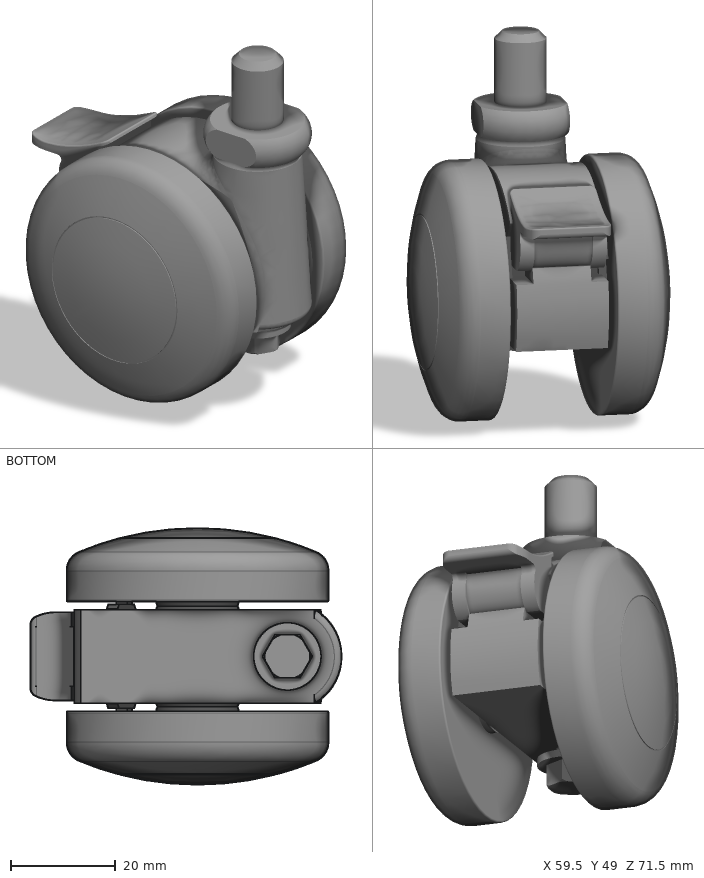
import cadquery as cq
import math


wheel_radius = 25.0
overall_width = 49.0
wheel_inner_y = 10.45
tread_outer_y = 16.3
shoulder_radius = 3.9
dome_rim_radius = 22.5
inner_edge_round = 0.35
cap_radius = 15.0
cap_groove_width = 0.3
cap_groove_depth = 0.15
hub_radius = 7.95
hub_waist_y = 9.6
hub_waist_radius = 7.65

housing_radius = 23.5
housing_width = 17.9
housing_bottom_z = -7.6
stem_x = 17.15
post_top_z = 26.6
post_shoulder_z = 25.5
post_top_radius = 8.6
post_bottom_radius = 10.45
post_bevel = 0.5
post_bottom_round = 1.4
post_blend_radius = 2.5

lever_width = 16.9
web_width = 11.3
lever_back_x = -14.8
arm_floor_z = 5.6
notch_lip = [(-16.65, 16.3), (-15.7, 17.9)]
web_floor_z = 8.5
lever_tip_x = -31.9
lever_rear_x = -12.5
tip_sweep_x = -27.1
tip_corner_y = 7.0
tip_corner_radius = 1.8
rear_corner_radius = 1.6
lever_tip_top_z = 18.4
pad_top_curve = [(-25.4, 18.1), (-17.65, 20.1), (-12.8, 22.3)]
pad_rear_bottom_z = 21.6
web_back_top_z = 20.4
pad_underside_z = 16.15
arm_fillet_top_x = -24.3
arm_fillet_mid = (-23.6, 15.7)
tip_round_start_x = -30.75
tip_round_mid = (-31.6, 16.5)
tip_round_end_z = 17.4
arm_front_x = -23.45
arm_front_z = 15.0
arm_belly_x = -24.0
arm_belly_z = 12.8
arm_bottom_x = -20.9
arm_bottom_z = 7.9
web_setback = 0.5
lever_rim_round = 0.3

lug_outer_y = 9.95
lug_chamfer = 0.85
lug_foot = (-17.3, 3.0)
lug_head = (-13.9, 13.15)
pad_bottom_z = 8.3
pad_top_z = 11.45
lug_back = [(-11.8, 12.45), (-15.2, 2.3)]
pad_back = [(-12.45, 10.65), (-13.4, 7.9)]

stem_top_z = 46.5
stud_radius = 5.0
stud_chamfer = 1.4
nut_top_z = 32.6
nut_face_radius = 9.1
nut_belly_radius = 10.4
nut_flats = 16.9
shank_radius = 2.9
washer_radius = 6.4
washer_top_z = -9.45
washer_bottom_z = -10.9
bolt_head_bottom_z = -15.2
bolt_head_flats = 8.2
bolt_head_chamfer = 0.4

all_round = 71.5


def slab(width):
    """Block centred on the mid-plane, limited only in Y."""
    return cq.Workplane("XY").box(2 * all_round, width, 2 * all_round)


def extrude_across(sketch, width):
    """Extrude an XZ outline symmetrically about the mid-plane."""
    return sketch.extrude(width).translate((0, width / 2, 0))


def disc(radius, bottom_z, top_z):
    """Upright cylinder on the Z axis between two heights."""
    return cq.Workplane("XY", origin=(0, 0, bottom_z)).circle(radius).extrude(top_z - bottom_z)


def make_wheel(side):
    """One wheel with its domed outer face towards side (+1 or -1) along Y."""
    crown_y = overall_width / 2
    shoulder_x = wheel_radius - shoulder_radius
    rim_offset = dome_rim_radius - shoulder_x
    rim_y = tread_outer_y + math.sqrt(shoulder_radius**2 - rim_offset**2)
    mid_angle = math.acos(rim_offset / shoulder_radius) / 2
    shoulder_mid = (
        shoulder_x + shoulder_radius * math.cos(mid_angle),
        tread_outer_y + shoulder_radius * math.sin(mid_angle),
    )
    dome_rise = crown_y - rim_y
    dome_radius = (dome_rim_radius**2 + dome_rise**2) / (2 * dome_rise)

    def dome_y(r):
        return crown_y - dome_radius + math.sqrt(dome_radius**2 - r**2)

    wheel = (
        cq.Workplane("XY")
        .moveTo(0, housing_width / 2)
        .lineTo(hub_radius, housing_width / 2)
        .lineTo(hub_waist_radius, hub_waist_y)
        .lineTo(hub_radius, wheel_inner_y)
        .lineTo(wheel_radius - inner_edge_round, wheel_inner_y)
        .radiusArc((wheel_radius, wheel_inner_y + inner_edge_round), -inner_edge_round)
        .lineTo(wheel_radius, tread_outer_y)
        .threePointArc(shoulder_mid, (dome_rim_radius, rim_y))
        .threePointArc((dome_rim_radius / 2, dome_y(dome_rim_radius / 2)), (0, crown_y))
        .close()
        .revolve(360, (0, 0, 0), (0, 1, 0))
    )
    groove_bottom_y = dome_y(cap_radius) - cap_groove_depth
    groove = (
        cq.Workplane("XZ", origin=(0, groove_bottom_y, 0))
        .circle(cap_radius)
        .circle(cap_radius - cap_groove_width)
        .extrude(-all_round)
    )
    wheel = wheel.cut(groove)
    return wheel if side > 0 else wheel.mirror("XZ")


def make_post():
    """Tapered swivel post round the stem axis, with a sharp bottom edge."""
    return (
        cq.Workplane("XZ", origin=(stem_x, 0, 0))
        .moveTo(0, housing_bottom_z)
        .lineTo(post_bottom_radius, housing_bottom_z)
        .lineTo(post_top_radius, post_shoulder_z)
        .lineTo(post_top_radius - post_bevel, post_top_z)
        .lineTo(0, post_top_z)
        .close()
        .revolve(360, (0, 0, 0), (0, 1, 0))
    )


def on_lug_front(z):
    """Point at height z on the slanted front face of the lugs."""
    lean = (lug_head[0] - lug_foot[0]) / (lug_head[1] - lug_foot[1])
    return (lug_foot[0] + lean * (z - lug_foot[1]), z)


def make_lugs():
    """Slanted lug with a raised pad on each side of the housing, against the wheel."""
    lug_outline = [lug_foot, lug_head, *lug_back]
    pad_outline = [on_lug_front(pad_bottom_z), on_lug_front(pad_top_z), *pad_back]
    lug = extrude_across(cq.Workplane("XZ").polyline(lug_outline).close(), 2 * lug_outer_y)
    end_edges = lug.faces("<Y or >Y").edges("(<Z or >Z)")
    lug = end_edges.chamfer(lug_chamfer)
    pad = extrude_across(cq.Workplane("XZ").polyline(pad_outline).close(), 2 * wheel_inner_y)
    return lug.union(pad).cut(slab(lever_width))


def make_drum():
    """Housing drum with its flat underside, wider than the finished housing."""
    drum = extrude_across(cq.Workplane("XZ").circle(housing_radius), 2 * housing_width)
    drum_top = cq.Workplane("XY").box(
        2 * all_round, 2 * all_round, all_round, centered=(True, True, False))
    return drum.intersect(drum_top.translate((0, 0, housing_bottom_z)))


def lever_pocket(floor_z, width):
    """Space in front of the pocket's rear wall and above a floor."""
    space = cq.Workplane("XY").box(all_round, width, all_round, centered=(False, True, False))
    return space.translate((lever_back_x - all_round, 0, floor_z))


def make_housing():
    """Drum, post and lugs, cut out for the lever and bored for the stem."""
    drum = make_drum()
    post = make_post()

    body = drum.union(post)
    meeting_curve = body.edges("not(%CIRCLE or %LINE)")
    body = meeting_curve.fillet(post_blend_radius)

    rounded_post = post.faces("<Z").edges().fillet(post_bottom_round)
    body = body.cut(post.cut(rounded_post).cut(drum))
    housing = body.intersect(slab(housing_width))

    notch_outline = [
        (-all_round, arm_floor_z), on_lug_front(arm_floor_z), lug_head,
        *notch_lip, (-all_round, all_round),
    ]
    notches = extrude_across(cq.Workplane("XZ").polyline(notch_outline).close(), housing_width)
    notches = notches.cut(slab(web_width))
    housing = housing.cut(notches).union(make_lugs())

    arm_pocket = lever_pocket(arm_floor_z, lever_width).cut(slab(web_width))
    web_pocket = lever_pocket(web_floor_z, web_width)
    bore = disc(shank_radius, housing_bottom_z, post_top_z).translate((stem_x, 0, 0))
    return housing.cut(arm_pocket).cut(web_pocket).cut(bore)


def make_lever():
    """Foot lever: a curved pad on two arms joined by a set-back web."""
    outline = (
        cq.Workplane("XZ")
        .moveTo(lever_tip_x, lever_tip_top_z)
        .spline(pad_top_curve, includeCurrent=True)
        .lineTo(lever_rear_x, pad_rear_bottom_z)
        .lineTo(lever_back_x, web_back_top_z)
        .lineTo(lever_back_x, arm_bottom_z)
        .lineTo(arm_bottom_x, arm_bottom_z)
        .threePointArc((arm_belly_x, arm_belly_z), (arm_front_x, arm_front_z))
        .threePointArc(arm_fillet_mid, (arm_fillet_top_x, pad_underside_z))
        .lineTo(tip_round_start_x, pad_underside_z)
        .threePointArc(tip_round_mid, (lever_tip_x, tip_round_end_z))
        .close()
    )
    lever = extrude_across(outline, lever_width)

    recess = (
        cq.Workplane("XZ")
        .moveTo(lever_tip_x, arm_bottom_z)
        .lineTo(arm_bottom_x + web_setback, arm_bottom_z)
        .threePointArc(
            (arm_belly_x + web_setback, arm_belly_z),
            (arm_front_x + web_setback, pad_underside_z),
        )
        .lineTo(lever_tip_x, pad_underside_z)
        .close()
    )
    lever = lever.cut(extrude_across(recess, web_width))

    below_web = slab(web_width).translate((0, 0, web_floor_z - all_round))
    lever = lever.cut(below_web)

    side_y = lever_width / 2
    plan = (
        cq.Workplane("XY", origin=(0, 0, -all_round))
        .moveTo(lever_rear_x, 0)
        .lineTo(lever_rear_x, side_y)
        .lineTo(tip_sweep_x, side_y)
        .tangentArcPoint((lever_tip_x, tip_corner_y), relative=False)
        .lineTo(lever_tip_x, 0)
        .mirrorX()
        .extrude(2 * all_round)
        .edges("|Z and <X").fillet(tip_corner_radius)
        .edges("|Z and >X").fillet(rear_corner_radius)
    )
    lever = lever.intersect(plan)

    top_face = lever.faces("%EXTRUSION").faces(">Z")
    return top_face.edges().fillet(lever_rim_round)


def make_stem():
    """Stud, swivel nut, shank, washer and bolt head on one axis."""
    nut_mid_z = (nut_top_z + post_top_z) / 2
    nut = (
        cq.Workplane("XZ")
        .moveTo(0, post_top_z)
        .lineTo(nut_face_radius, post_top_z)
        .threePointArc((nut_belly_radius, nut_mid_z), (nut_face_radius, nut_top_z))
        .lineTo(0, nut_top_z)
        .close()
        .revolve(360, (0, 0, 0), (0, 1, 0))
        .intersect(slab(nut_flats))
    )

    stud = disc(stud_radius, nut_top_z, stem_top_z).faces(">Z").chamfer(stud_chamfer)
    shank = disc(shank_radius, washer_top_z, post_top_z)
    washer = disc(washer_radius, washer_bottom_z, washer_top_z)
    corner_radius = bolt_head_flats / 2 / math.cos(math.pi / 6)
    bolt_head = (
        cq.Workplane("XY", origin=(0, 0, bolt_head_bottom_z))
        .polygon(6, 2 * corner_radius)
        .extrude(washer_bottom_z - bolt_head_bottom_z)
    )
    chamfered_disc = disc(corner_radius, bolt_head_bottom_z, washer_bottom_z)
    chamfered_disc = chamfered_disc.faces("<Z").chamfer(bolt_head_chamfer)
    bolt_head = bolt_head.intersect(chamfered_disc)
    stem = nut.union(stud).union(shank).union(washer).union(bolt_head)
    return stem.translate((stem_x, 0, 0))


wheels = [make_wheel(side) for side in (-1, 1)]
housing = make_housing()
lever = make_lever()
stem = make_stem()

result = cq.Compound.makeCompound([
    *[wheel.val() for wheel in wheels],
    housing.val(),
    lever.val(),
    stem.val(),
])